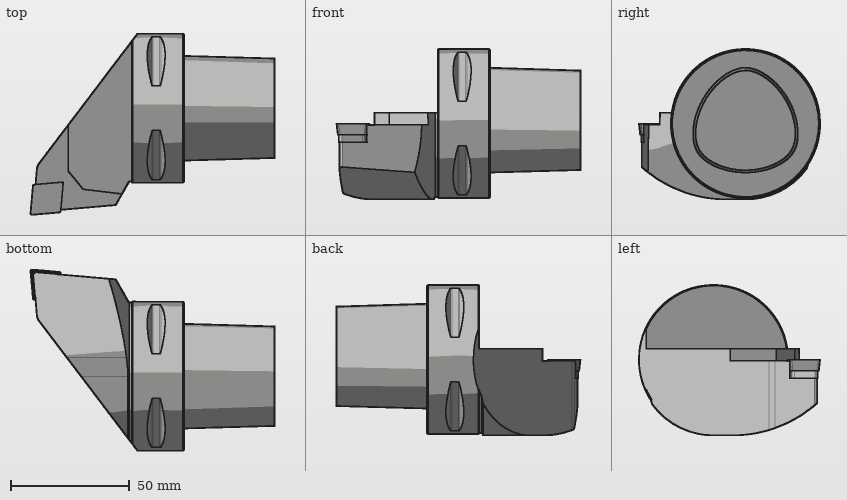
import cadquery as cq
import math


flange_radius = 63.0 / 2
flange_length = 22.0
rear_chamfer = 0.6
front_chamfer = 0.3

cutter_clearance = 1.0

groove_count = 4
groove_start_angle = 45
groove_floor_distance = 27.9
groove_floor_width = 3.4
groove_floor_radius = 0.6
groove_center_x = -11.8
groove_side_angle = 30

shank_length = 38.1
shank_mean_radius = 22.1
shank_lobe_height = 1.4
shank_end_scale = 0.95
shank_curve_points = 36

block_top = 4.6
block_bottom_radius = 32.0
belly_radius = 53.6
belly_center_y = -8.0
block_reach_x = -68.0
block_reach_y = -47.4
neck_radius = 31.1
neck_length = 1.2
back_cone_slope = math.tan(math.radians(60))

edge_tilt = 5.0
slant_angle = 52.8
slant_end_x = -19.7
side_face_x = -62.2
side_face_y = -25.5
lower_face_x = -28.8
lower_face_y = -40.9
slant_corner_radius = 10.0 / 2
nose_corner_radius = 1.2

shelf_z = -0.5
shelf_wall_x = -48.9
shelf_wall_end_y = -26.6
shelf_corner_x = -42.6
shelf_corner_y = -34.2
shelf_side_angle = -6.9

insert_corner_angle = 80.0
insert_inscribed_diameter = 12.7
insert_thickness = 4.7
insert_nose_radius = 0.8
insert_nose_x = -64.1
insert_nose_y = -44.2
insert_relief_angle = 6.0
shim_thickness = 3.1
shim_inset = 0.8
shim_corner_radius = 1.2
pocket_overrun = 3.1
seat_z = -insert_thickness - shim_thickness

tilt = math.radians(edge_tilt)
slant = math.radians(slant_angle)


def meet(point_a, angle_a, point_b, angle_b):
    """Crossing point of two lines, each given by a point and an angle in radians."""
    dx = point_b[0] - point_a[0]
    dy = point_b[1] - point_a[1]
    travel = (dx * math.sin(angle_b) - dy * math.cos(angle_b)) / math.sin(angle_b - angle_a)
    return (point_a[0] + travel * math.cos(angle_a), point_a[1] + travel * math.sin(angle_a))


def make_flange():
    disc = cq.Workplane("YZ").circle(flange_radius).extrude(-flange_length)
    disc = disc.faces(">X").chamfer(rear_chamfer).faces("<X").chamfer(front_chamfer)
    depth = flange_radius - groove_floor_distance + cutter_clearance
    half_floor = groove_floor_width / 2
    half_mouth = half_floor + depth * math.tan(math.radians(groove_side_angle))
    groove = (
        cq.Workplane("XZ")
        .polyline([
            (groove_center_x - half_floor, groove_floor_distance),
            (groove_center_x + half_floor, groove_floor_distance),
            (groove_center_x + half_mouth, groove_floor_distance + depth),
            (groove_center_x - half_mouth, groove_floor_distance + depth),
        ])
        .close()
        .extrude(flange_radius, both=True)
        .edges("<Z")
        .edges("|Y")
        .fillet(groove_floor_radius)
    )
    for i in range(groove_count):
        angle = groove_start_angle + i * 360 / groove_count
        disc = disc.cut(groove.rotate((0, 0, 0), (1, 0, 0), angle))
    return disc


def lobed_section(x, scale):
    """Closed three-lobed curve of constant width, with one lobe pointing up."""
    def point(angle):
        reach = shank_mean_radius + shank_lobe_height * math.cos(3 * angle)
        shift = 3 * shank_lobe_height * math.sin(3 * angle)
        up = reach * math.cos(angle) + shift * math.sin(angle)
        side = reach * math.sin(angle) - shift * math.cos(angle)
        return (scale * side, scale * up)
    points = [point(2 * math.pi * i / shank_curve_points) for i in range(shank_curve_points)]
    return cq.Workplane("YZ", origin=(x, 0, 0)).spline(points, periodic=True).wire().val()


def make_shank():
    sections = [lobed_section(0, 1), lobed_section(shank_length, shank_end_scale)]
    return cq.Workplane(cq.Solid.makeLoft(sections, True))


def make_block():
    """Head cross-section run along X, its back trimmed by a cone that ends in the neck."""
    belly_center_z = belly_radius - block_bottom_radius

    def belly_z(y):
        return belly_center_z - math.sqrt(belly_radius ** 2 - (y - belly_center_y) ** 2)

    belly_mid_y = (belly_center_y + block_reach_y) / 2
    side_y = math.sqrt(block_bottom_radius ** 2 - block_top ** 2)
    half_diagonal = block_bottom_radius / math.sqrt(2)
    block = (
        cq.Workplane("YZ", origin=(-flange_length, 0, 0))
        .moveTo(side_y, block_top)
        .threePointArc((half_diagonal, -half_diagonal), (0, -block_bottom_radius))
        .lineTo(belly_center_y, -block_bottom_radius)
        .threePointArc((belly_mid_y, belly_z(belly_mid_y)), (block_reach_y, belly_z(block_reach_y)))
        .lineTo(block_reach_y, block_top)
        .close()
        .extrude(block_reach_x + flange_length)
    )
    neck_x = -flange_length - neck_length
    cone_radius = neck_radius + (neck_x - block_reach_x) * back_cone_slope
    back_trim = (
        cq.Workplane("XY")
        .polyline([
            (block_reach_x, 0),
            (block_reach_x, cone_radius),
            (neck_x, neck_radius),
            (-flange_length, neck_radius),
            (-flange_length, 0),
        ])
        .close()
        .revolve(360, (0, 0, 0), (1, 0, 0))
    )
    return block.intersect(back_trim)


def make_plan_trim():
    """Vertical prism bounded by the slanted side, the side face and the lower face."""
    slant_point = (slant_end_x, flange_radius)
    side_point = (side_face_x, side_face_y)
    lower_point = (lower_face_x, lower_face_y)
    slant_corner = meet(slant_point, slant, side_point, math.pi / 2 - tilt)
    nose_corner = meet(side_point, math.pi / 2 - tilt, lower_point, tilt)
    far_x = cutter_clearance
    far_top = meet(slant_point, slant, (far_x, 0), math.pi / 2)
    far_bottom = meet(lower_point, tilt, (far_x, 0), math.pi / 2)
    prism = (
        cq.Workplane("XY")
        .polyline([slant_corner, nose_corner, far_bottom, far_top])
        .close()
        .extrude(2 * flange_radius, both=True)
    )
    for corner, radius in ((slant_corner, slant_corner_radius), (nose_corner, nose_corner_radius)):
        edge = prism.edges(cq.selectors.NearestToPointSelector((corner[0], corner[1], 0)))
        prism = prism.newObject(edge.vals()).fillet(radius)
    return prism


def make_shelf_cut():
    shelf_angle = math.radians(shelf_side_angle)
    shelf_end = meet((shelf_corner_x, shelf_corner_y), shelf_angle, (-flange_length, 0), math.pi / 2)
    return (
        cq.Workplane("XY", origin=(0, 0, shelf_z))
        .polyline([
            (shelf_wall_x, flange_radius),
            (shelf_wall_x, shelf_wall_end_y),
            (shelf_corner_x, shelf_corner_y),
            shelf_end,
            (-flange_length, block_reach_y),
            (block_reach_x, block_reach_y),
            (block_reach_x, flange_radius),
        ])
        .close()
        .extrude(block_top - shelf_z)
    )


def rhombus(z, inset, overrun=0.0):
    """Insert outline moved inward by inset; overrun extends its two outer sides outward."""
    corner = math.radians(insert_corner_angle)
    tip_back = insert_nose_radius / math.sin(corner / 2) / math.sqrt(2)
    side = insert_inscribed_diameter / math.sin(corner)
    start = inset / math.sin(corner) - overrun
    end = side - inset / math.sin(corner)

    def place(along_lower, along_side):
        x = insert_nose_x - tip_back + along_lower * math.cos(tilt) + along_side * math.sin(tilt)
        y = insert_nose_y - tip_back + along_lower * math.sin(tilt) + along_side * math.cos(tilt)
        return (x, y)

    corners = [place(start, start), place(end, start), place(end, end), place(start, end)]
    return cq.Workplane("XY", origin=(0, 0, z)).polyline(corners).close()


def make_insert():
    body = rhombus(0, 0).extrude(-insert_thickness, taper=insert_relief_angle)
    return body.edges("not #Z").fillet(insert_nose_radius)


def make_shim():
    return rhombus(seat_z, shim_inset).extrude(shim_thickness).edges("|Z").fillet(shim_corner_radius)


def make_holder(insert):
    """Flange, head, shank and shim as one solid, with the seat shaped to the insert."""
    pocket = rhombus(seat_z, 0, pocket_overrun).extrude(shelf_z - seat_z)
    holder = make_flange().union(make_block()).intersect(make_plan_trim())
    holder = holder.cut(make_shelf_cut()).cut(pocket)
    return holder.union(make_shank()).union(make_shim()).cut(insert)


insert = make_insert()
holder = make_holder(insert)
result = cq.Compound.makeCompound([holder.solids().val(), insert.solids().val()])